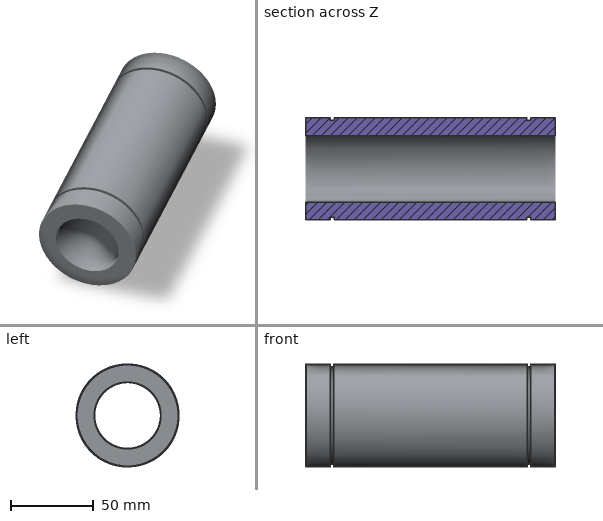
import cadquery as cq

length = 151.0
outer_diameter = 62.0
bore_diameter = 40.0
end_chamfer = 0.3

groove_diameter = 59.0
groove_width = 2.1
groove_span = 121.3


def cylinder_along_x(diameter, height, centre_x=0.0):
    start_x = centre_x - height / 2
    return cq.Workplane("YZ", origin=(start_x, 0, 0)).circle(diameter / 2).extrude(height)


def ring_groove(centre_x):
    blank = cylinder_along_x(outer_diameter, groove_width, centre_x)
    core = cylinder_along_x(groove_diameter, groove_width, centre_x)
    return blank.cut(core)


sleeve = cylinder_along_x(outer_diameter, length).faces("<X or >X").edges().chamfer(end_chamfer)

sleeve = sleeve.cut(cylinder_along_x(bore_diameter, length))

groove_offset = (groove_span - groove_width) / 2
for side in (-1, 1):
    sleeve = sleeve.cut(ring_groove(side * groove_offset))

result = sleeve